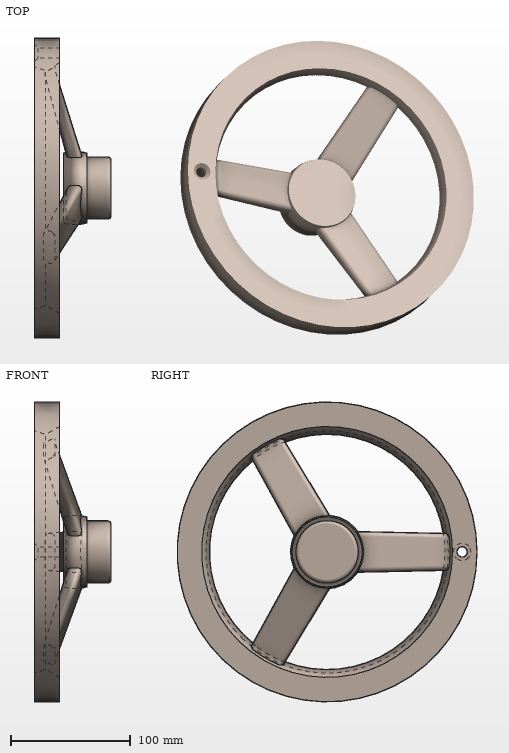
import cadquery as cq
import math


rim_radius = 250 / 2
rim_width = 21
bore_front_radius = 101
bore_back_radius = 104.5
bore_ridge_radius = 97.9
bore_ridge_position = 9.5

hub_front = 24.2
hub_back = 43.8
hub_face_radius = 29.1
hub_bulge_radius = 30.6
boss_radius = 52 / 2
boss_back = 64
boss_edge_fillet = 3

spoke_angles = [0, 120, 240]
handle_spoke_angle = 0
spoke_inner_radius = 18
spoke_outer_radius = 98.5
spoke_inner_half_width = 17.2
spoke_outer_half_width = 15.5
spoke_front_at_axis = 34.2
spoke_front_slope = 0.271
spoke_back_at_axis = 48
spoke_back_slope = 0.313
spoke_edge_fillet = 4
spoke_flat_radius = 93.7
spoke_root_length = 5

handle_hole_diameter = 8.4
handle_countersink_diameter = 14.4
handle_countersink_angle = 90
handle_hole_distance = 112.5


def revolve_about_x(profile):
    """Turn a profile drawn as (x, radius) about the wheel axis."""
    return profile.close().revolve(360, (0, 0, 0), (1, 0, 0))


def make_rim():
    return revolve_about_x(
        cq.Workplane("XY")
        .moveTo(0, bore_front_radius)
        .lineTo(0, rim_radius)
        .lineTo(rim_width, rim_radius)
        .lineTo(rim_width, bore_back_radius)
        .lineTo(bore_ridge_position, bore_ridge_radius)
    )


def make_hub():
    hub_middle = (hub_front + hub_back) / 2
    ring = revolve_about_x(
        cq.Workplane("XY")
        .moveTo(hub_front, 0)
        .lineTo(hub_front, hub_face_radius)
        .threePointArc((hub_middle, hub_bulge_radius), (hub_back, hub_face_radius))
        .lineTo(hub_back, 0)
    )
    boss = (
        cq.Workplane("YZ", origin=(hub_middle, 0, 0))
        .circle(boss_radius)
        .extrude(boss_back - hub_middle)
        .faces(">X")
        .edges()
        .fillet(boss_edge_fillet)
    )
    return ring.union(boss)


def spoke_front(radius):
    return spoke_front_at_axis - spoke_front_slope * radius


def spoke_back(radius):
    return spoke_back_at_axis - spoke_back_slope * radius


def make_spoke(angle):
    """Leaning, tapering bar with rounded long edges, turned to its angle from +Y."""
    has_flat_end = angle == handle_spoke_angle
    front_end = spoke_front(spoke_flat_radius if has_flat_end else spoke_outer_radius)
    side = (
        cq.Workplane("XY")
        .moveTo(spoke_back(spoke_inner_radius), spoke_inner_radius)
        .lineTo(spoke_back(spoke_outer_radius), spoke_outer_radius)
        .lineTo(front_end, spoke_outer_radius)
    )
    if has_flat_end:
        side = side.lineTo(front_end, spoke_flat_radius)
    side = (
        side.lineTo(spoke_front(spoke_inner_radius), spoke_inner_radius)
        .close()
        .extrude(spoke_inner_half_width, both=True)
    )
    plan = (
        cq.Workplane("YZ")
        .moveTo(spoke_inner_radius, -spoke_inner_half_width)
        .lineTo(spoke_outer_radius, -spoke_outer_half_width)
        .lineTo(spoke_outer_radius, spoke_outer_half_width)
        .lineTo(spoke_inner_radius, spoke_inner_half_width)
        .close()
        .extrude(boss_back)
    )
    spoke = side.intersect(plan)
    rounded = spoke.edges("not (|Z or #Y)").fillet(spoke_edge_fillet)
    root = rounded.faces(">Y").wires().toPending().workplane().extrude(spoke_root_length, combine=False)
    return rounded.union(root).rotate((0, 0, 0), (1, 0, 0), angle)


def make_handle_hole():
    countersink_radius = handle_countersink_diameter / 2
    hole_radius = handle_hole_diameter / 2
    depth = (countersink_radius - hole_radius) / math.tan(math.radians(handle_countersink_angle / 2))
    profile = (
        cq.Workplane("XY")
        .moveTo(0, 0)
        .lineTo(0, countersink_radius)
        .lineTo(depth, hole_radius)
        .lineTo(rim_width, hole_radius)
        .lineTo(rim_width, 0)
    )
    return revolve_about_x(profile).translate((0, handle_hole_distance, 0))


result = make_rim().union(make_hub())
for spoke_angle in spoke_angles:
    result = result.union(make_spoke(spoke_angle))
result = result.cut(make_handle_hole())